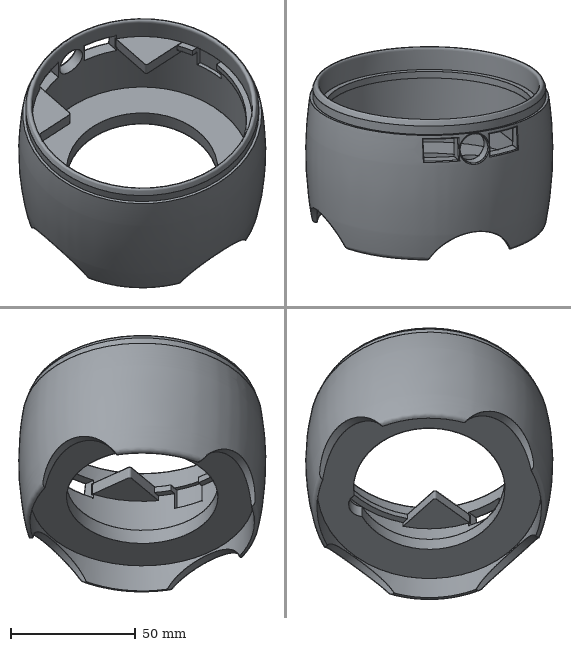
import cadquery as cq
height = 59.71
belly_radius = 49.81
belly_height = 28.5
shoulder_radius = 48.15
shoulder_height = 53.9
foot_radius = 46.8
foot_fillet = 1.9

bore_radius = 88.78 / 2
floor_top = 19.5
floor_bottom = 12.8
floor_hole_radius = 30.5
skirt_inner_radius = 45.2

neck_radius = 94.0 / 2
neck_straight_top = 57.5
rim_crest_radius = 45.5
rim_inner_round = rim_crest_radius - bore_radius

notch_radius = 12.0 / 2
notch_x = 14.4
notch_y = -23.6

ledge_inner_radius = 42.0
ledge_top = 50.35
ledge_thickness = 2.8

pad_end_x = -20.9
pad_side_y = 20.0
pad_rise = 0.15
pad_top = ledge_top + pad_rise
pad_thickness = 5.4
pad_corner_radius = 1.0

gap_start_x = -14.8
gap_end_x = -2.9
pocket_radius = 45.9
pocket_bottom = 40.0

arch_top = 11.8
arch_half_width = 18.05
arch_radius = (arch_half_width**2 + arch_top**2) / (2 * arch_top)

port_radius = 12.0 / 2
port_height = 47.3
port_chamfer = 0.45
window_near_y = 6.9
window_far_y = 20.3
window_bottom = 43.3
window_top = 52.3
window_chamfer = 0.4
opening_inner_x = -36.0

wall_overlap = 0.5

reach = 60.0


def disc(radius, bottom, top):
    """Upright cylinder on the Z axis."""
    return cq.Workplane("XY").workplane(offset=bottom).circle(radius).extrude(top - bottom)


def box(x_range, y_range, z_range):
    """Box given by its limits along each axis, in either order."""
    ranges = [sorted(limits) for limits in (x_range, y_range, z_range)]
    size = [high - low for low, high in ranges]
    corner = tuple(low for low, high in ranges)
    return cq.Workplane("XY").box(*size, centered=False).translate(corner)


def make_shell():
    """Barrel with a stepped neck, an upper bore, a holed floor and a hollow skirt below it."""
    leaning_in = (-0.4, 1)
    down = (0, -1)
    rim_crest = (rim_crest_radius, height)
    rim_inner_end = (bore_radius, height - rim_inner_round)
    section = (
        cq.Workplane("XZ")
        .moveTo(skirt_inner_radius, 0)
        .lineTo(foot_radius, 0)
        .threePointArc((belly_radius, belly_height), (shoulder_radius, shoulder_height))
        .lineTo(neck_radius, shoulder_height)
        .lineTo(neck_radius, neck_straight_top)
        .spline([rim_crest, rim_inner_end], tangents=[leaning_in, down], includeCurrent=True)
        .lineTo(bore_radius, floor_top)
        .lineTo(floor_hole_radius, floor_top)
        .lineTo(floor_hole_radius, floor_bottom)
        .lineTo(skirt_inner_radius, floor_bottom)
        .close()
    )
    shell = section.revolve(360, (0, 0, 0), (0, 1, 0))
    outer_bottom_edge = cq.selectors.RadiusNthSelector(-1)
    return shell.faces("<Z").edges(outer_bottom_edge).fillet(foot_fillet)


def make_notch():
    """Cutter for the cable notch in the floor."""
    return disc(notch_radius, 0, floor_top).translate((notch_x, notch_y, 0))


def make_ledge():
    """Ring inside the bore that ends at the corner pads."""
    bottom = ledge_top - ledge_thickness
    ring = disc(bore_radius + wall_overlap, bottom, ledge_top)
    ring = ring.cut(disc(ledge_inner_radius, bottom, ledge_top))
    return ring.cut(box((-reach, pad_end_x), (-reach, reach), (bottom, ledge_top)))


def make_pad(side):
    """Shelf filling a corner of the bore on the given side of the X axis."""
    bottom = pad_top - pad_thickness
    block = box((-reach, pad_end_x), (side * pad_side_y, side * reach), (bottom, pad_top))
    inner_edge = "<Y" if side > 0 else ">Y"
    block = block.edges("|Z").edges(">X").edges(inner_edge).fillet(pad_corner_radius)
    return block.intersect(disc(bore_radius + wall_overlap, bottom, pad_top))


def make_gap():
    """Cutter that opens the +Y side of the ledge and sinks a pocket into the wall."""
    sector = box((gap_start_x, gap_end_x), (floor_hole_radius, reach), (pocket_bottom, ledge_top))
    return disc(pocket_radius, pocket_bottom, ledge_top).intersect(sector)


def make_arch(plane):
    """Round tunnel through the skirt, along the normal of the given plane."""
    circle = cq.Workplane(plane).center(0, arch_top - arch_radius).circle(arch_radius)
    return circle.extrude(reach, both=True)


def cut_opening(body, cutter, chamfer):
    """Cut an opening in the -X wall and chamfer its outer edge."""
    plug = body.intersect(cutter)
    outer_edges = plug.faces("<X").edges().vals()
    opened = body.cut(cutter)
    centers = [edge.Center() for edge in outer_edges]
    rim = [
        edge
        for edge in opened.edges().vals()
        if any((edge.Center() - center).Length < chamfer / 10 for center in centers)
    ]
    return opened.newObject(rim).chamfer(chamfer)


def make_window(side):
    """Cutter for the window on the given side of the port."""
    y_range = (side * window_near_y, side * window_far_y)
    return box((-reach, opening_inner_x), y_range, (window_bottom, window_top))


def make_port():
    """Cutter for the round port."""
    circle = cq.Workplane("YZ").workplane(offset=-reach).center(0, port_height).circle(port_radius)
    return circle.extrude(opening_inner_x + reach)


result = make_shell().cut(make_notch()).union(make_ledge())
result = result.cut(make_gap())
for plane in ("XZ", "YZ"):
    result = result.cut(make_arch(plane))
for side in (1, -1):
    result = cut_opening(result, make_window(side), window_chamfer)
result = cut_opening(result, make_port(), port_chamfer)
for side in (1, -1):
    result = result.union(make_pad(side))